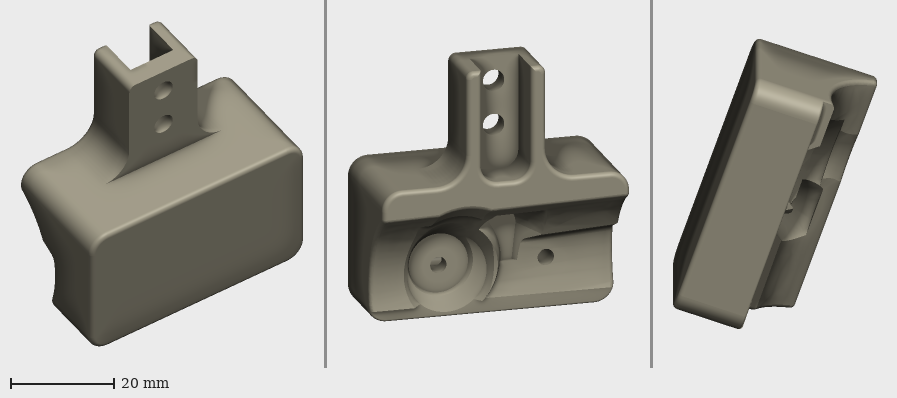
import cadquery as cq
import math

block_depth = 25.0
block_width = 50.0
block_height = 30.0
block_corner_radius = 4.0
edge_radius = 1.0

total_height = 53.0
stem_depth = 13.0
stem_width = 16.0
stem_foot_radius = 6.0
stem_top_radius = 1.5

channel_depth = 9.0
channel_width = 10.0
channel_floor_radius = 3.5

mount_hole_diameter = 4.3
mount_hole_heights = (39.0, 48.0)

shelf_front = 11.1
shelf_height = 3.0
shelf_edge_radius = 0.4

scoop_arc_left = ((0.0, 23.9), (8.9, 12.2), (8.8, shelf_height))
scoop_arc_right = ((0.0, 25.0), (9.3, 12.6), (9.0, shelf_height))
cavity_edge_radius = 0.8

groove_nose = (7.0, 17.2)
groove_roof_back = (11.5, 15.2)
groove_floor_middle = (11.9, 10.0)
groove_floor_bottom = (10.3, 2.0)
groove_roof_radius = 1.5
groove_tilt = 3.0

bowl_floor_x = 13.0
bowl_floor_radius = 6.0
bowl_floor_centre = (10.0, 10.4)
bowl_mouth_radius = 13.2
bowl_mouth_centre = (8.0, 12.2)

ridge_root_radius = 12.1
ridge_crest_radius = 10.3
ridge_crest_x = 9.0
ridge_centre = (9.5, 10.5)

rim_sections = (
    (12.2, (9.8, 10.4), 6.0),
    (shelf_front, (8.8, 8.9), 8.0),
    (4.0, (9.0, 10.5), 13.0),
)

pocket_floor_x = 13.0
pocket_floor_radius = 3.9
pocket_floor_centre = (-1.7, 17.3)
pocket_floor_foot = -4.8
pocket_mouth_x = 3.0
pocket_mouth_radius = 9.0
pocket_mouth_centre = (-4.0, 15.0)
pocket_mouth_foot = -12.0
pocket_bottom = 9.9

passage_diameter = 3.3
passage_height = 10.0
passage_ends = (10.0, -11.4)
passage_depth = 18.0

gap = 0.05


def yz_plane(x):
    """Sketch plane facing +X with local axes (Y, Z)."""
    return cq.Workplane("YZ", origin=(x, 0, 0))


def circle_wire(x, centre, radius):
    return cq.Wire.makeCircle(radius, cq.Vector(x, *centre), cq.Vector(1, 0, 0))


def make_block():
    block = (
        cq.Workplane("XY")
        .box(block_depth, block_width, block_height, centered=(False, True, False))
        .edges("|X")
        .fillet(block_corner_radius)
    )
    return block.faces(">X").edges().fillet(edge_radius)


def make_stem():
    half = stem_width / 2
    foot = stem_foot_radius
    bend = foot * (1 - math.sqrt(0.5))
    root = block_height - block_corner_radius
    stem = (
        yz_plane(0)
        .moveTo(-half - foot, root)
        .lineTo(-half - foot, block_height)
        .threePointArc((-half - bend, block_height + bend), (-half, block_height + foot))
        .lineTo(-half, total_height)
        .lineTo(half, total_height)
        .lineTo(half, block_height + foot)
        .threePointArc((half + bend, block_height + bend), (half + foot, block_height))
        .lineTo(half + foot, root)
        .close()
        .extrude(stem_depth)
    )
    return stem.edges("|X and >Z").fillet(stem_top_radius)


def make_channel():
    channel = (
        cq.Workplane("XY", origin=(0, 0, block_height))
        .box(channel_depth, channel_width, total_height, centered=(False, True, False))
    )
    return channel.edges("|X and <Z").fillet(channel_floor_radius)


def make_mount_holes():
    places = [(0, height) for height in mount_hole_heights]
    return yz_plane(0).pushPoints(places).circle(mount_hole_diameter / 2).extrude(stem_depth)


def make_shelf_cut():
    """Space in front of the shelf, shaped to leave its outer edge rounded."""
    depth = shelf_front + shelf_edge_radius
    space = cq.Workplane("XY").box(depth, block_width, shelf_height, centered=(False, True, False))
    plug = (
        cq.Workplane("XY", origin=(shelf_front, 0, 0))
        .box(block_depth, block_width, block_height, centered=(False, True, False))
        .edges("|X")
        .fillet(block_corner_radius)
        .faces("<X")
        .edges()
        .fillet(shelf_edge_radius)
    )
    return space.cut(plug)


def scoop_wire(y, arc):
    top, middle, bottom = [cq.Vector(x, y, z) for x, z in arc]
    front_low = cq.Vector(-edge_radius, y, bottom.z)
    front_high = cq.Vector(-edge_radius, y, top.z + edge_radius)
    return cq.Wire.assembleEdges([
        cq.Edge.makeThreePointArc(top, middle, bottom),
        cq.Edge.makeLine(bottom, front_low),
        cq.Edge.makeLine(front_low, front_high),
        cq.Edge.makeLine(front_high, top),
    ])


def make_scoop():
    half = block_width / 2
    wires = [scoop_wire(half, scoop_arc_left), scoop_wire(-half, scoop_arc_right)]
    return cq.Workplane(obj=cq.Solid.makeLoft(wires, True))


def make_ridge():
    """Tapered round wall kept standing between the bowl and its neighbours."""
    slope = (ridge_root_radius - ridge_crest_radius) / (bowl_floor_x - ridge_crest_x)
    front_radius = ridge_root_radius - slope * bowl_floor_x
    front = circle_wire(0, ridge_centre, front_radius)
    root = circle_wire(bowl_floor_x, ridge_centre, ridge_root_radius)
    return cq.Workplane(obj=cq.Solid.makeLoft([front, root], True))


def make_right_half():
    """Space above the shelf on the -Y side of the ridge centre."""
    width = block_width / 2 + ridge_centre[0]
    return (
        cq.Workplane("XY", origin=(0, -block_width / 2, shelf_height))
        .box(block_depth, width, block_height, centered=(False, False, False))
    )


def make_groove():
    groove = (
        cq.Workplane("XZ")
        .moveTo(*groove_nose)
        .lineTo(*groove_roof_back)
        .threePointArc(groove_floor_middle, groove_floor_bottom)
        .lineTo(groove_nose[0], groove_floor_bottom[1])
        .close()
        .extrude(block_width)
        .translate((0, block_width / 2, 0))
    )
    back_edge = cq.selectors.NearestToPointSelector((groove_roof_back[0], 0, groove_roof_back[1]))
    groove = groove.edges("|Y").edges(back_edge).fillet(groove_roof_radius)
    end = (0, -block_width / 2, groove_nose[1])
    groove = groove.rotate(end, (1, end[1], end[2]), -groove_tilt)
    return groove.intersect(make_right_half()).cut(make_ridge())


def make_bowl():
    mouth = circle_wire(0, bowl_mouth_centre, bowl_mouth_radius)
    floor = circle_wire(bowl_floor_x, bowl_floor_centre, bowl_floor_radius)
    return cq.Workplane(obj=cq.Solid.makeLoft([mouth, floor], True))


def make_rim():
    wires = [circle_wire(*section) for section in rim_sections]
    return cq.Workplane(obj=cq.Solid.makeLoft(wires, True))


def pocket_wire(x, centre, radius, foot_y):
    """Arch with its round end up and a flat base at the pocket bottom."""
    y, z = centre
    return (
        yz_plane(x)
        .moveTo(y + radius, pocket_bottom)
        .lineTo(y + radius, z)
        .threePointArc((y, z + radius), (y - radius, z))
        .lineTo(foot_y, pocket_bottom)
        .close()
        .val()
    )


def make_pocket():
    mouth = pocket_wire(pocket_mouth_x, pocket_mouth_centre, pocket_mouth_radius, pocket_mouth_foot)
    floor = pocket_wire(pocket_floor_x, pocket_floor_centre, pocket_floor_radius, pocket_floor_foot)
    return cq.Workplane(obj=cq.Solid.makeLoft([mouth, floor], True)).cut(make_ridge())


def make_passage():
    left, right = passage_ends
    path = cq.Workplane("XY", origin=(0, 0, passage_height)).polyline(
        [(0, left), (passage_depth, left), (passage_depth, right), (0, right)]
    )
    return (
        yz_plane(0)
        .center(left, passage_height)
        .circle(passage_diameter / 2)
        .sweep(path, transition="right")
    )


def slab_edges(part, low, high):
    """Edges whose centres lie in the box between two opposite corners."""
    return part.edges(cq.selectors.BoxSelector(low, high))


def round_cavity_edges(part):
    """Round the cavity outline on both end faces and along its upper front edge."""
    half = block_width / 2
    top = block_height - block_corner_radius
    outline = part.newObject([])
    for side in (-half, half):
        low = (edge_radius + gap, side - gap, shelf_height + edge_radius)
        high = (shelf_front + edge_radius, side + gap, top)
        outline = outline.add(slab_edges(part, low, high))
    low = (-gap, -half + edge_radius, bowl_mouth_centre[1])
    high = (gap, half - edge_radius, top - gap)
    outline = outline.add(slab_edges(part, low, high))
    return outline.fillet(cavity_edge_radius)


body = make_block().union(make_stem()).cut(make_channel())
body = body.faces("<X").edges().fillet(edge_radius)
body = body.cut(make_mount_holes()).cut(make_shelf_cut())
for cutter in (make_scoop(), make_bowl(), make_rim(), make_groove(), make_pocket()):
    body = body.cut(cutter)
body = round_cavity_edges(body)
result = body.cut(make_passage())